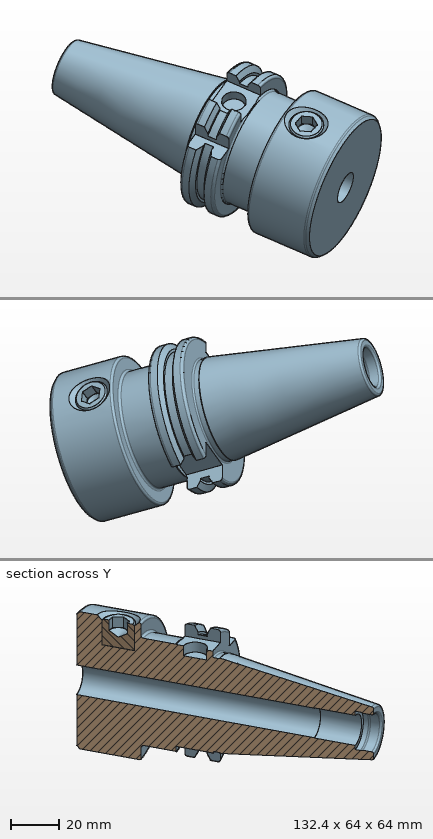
import cadquery as cq
import math

gauge_x = 68.5
flange_x = 71.6
flange_width = 15.9
flange_end_x = flange_x + flange_width
collar_x = 103.5
length = 132.4

taper_ratio = 7 / 24
gauge_diameter = 44.5
small_end_diameter = gauge_diameter - taper_ratio * gauge_x
small_end_fillet = 0.99
neck_diameter = 43.8
neck_fillet = 0.7

flange_diameter = 63.5
flange_fillet = 1.2
groove_top_width = 7.1
groove_floor_width = 4.0
groove_floor_diameter = 55.7
groove_half_angle = 30.0
groove_x = flange_x + flange_width / 2

keyway_width = 16.4
keyway_overrun = 0.4
keyway_length = flange_width + keyway_overrun
top_keyway_floor = 24.9
bottom_keyway_floor = 22.6
notch_corner = 18.5
rim_clearance = 1.3
pocket_diameter = 10.0
pocket_depth = 4.6

hub_diameter = 50.0
hub_flange_fillet = 0.8
hub_collar_fillet = 0.99
collar_diameter = 64.0
collar_back_fillet = 0.99
collar_front_chamfer = 1.5
collar_front_fillet = 1.0

bore_diameter = 13.5
bore_step_diameter = 13.8
bore_step_x = 26.5
relief_diameter = 17.6
relief_end_x = 8.2
pilot_diameter = 17.0
pilot_depth = 4.9
relief_cone_length = 1.0
pilot_mouth_fillet = 0.9

screw_x = 113.9
screw_diameter = 14.4
screw_chamfer = 0.7
screw_length = 12.0
screw_top = 30.6
screw_rim = screw_top - screw_chamfer
screw_tip = screw_top - screw_length
screw_angles = (0, -90)
countersink_height = 4.0
hex_flats = 8.0
hex_depth = 4.9
hex_turn = 24.0
hex_drill_half_angle = 60.0


class RingEdge(cq.Selector):
    """Selects the circular edge about the X axis at one station and diameter."""

    tolerance = 0.01

    def __init__(self, x, diameter):
        self.x = x
        self.diameter = diameter

    def filter(self, objects):
        found = []
        for edge in objects:
            box = edge.BoundingBox()
            flat = box.xlen < self.tolerance and abs(box.xmin - self.x) < self.tolerance
            if flat and abs(box.ylen - self.diameter) < self.tolerance:
                found.append(edge)
        return found


def make_turned_blank():
    """Solid of revolution for the holder, with its edges rounded."""
    small_radius = small_end_diameter / 2
    gauge_radius = gauge_diameter / 2
    neck_radius = neck_diameter / 2
    flange_radius = flange_diameter / 2
    hub_radius = hub_diameter / 2
    collar_radius = collar_diameter / 2
    floor_radius = groove_floor_diameter / 2
    half_floor = groove_floor_width / 2
    half_top = groove_top_width / 2
    slant_depth = (half_top - half_floor) / math.tan(math.radians(groove_half_angle))
    profile = [
        (0, 0),
        (0, small_radius),
        (gauge_x, gauge_radius),
        (gauge_x + gauge_radius - neck_radius, neck_radius),
        (flange_x, neck_radius),
        (flange_x, flange_radius),
        (groove_x - half_top, flange_radius),
        (groove_x - half_floor, flange_radius - slant_depth),
        (groove_x - half_floor, floor_radius),
        (groove_x + half_floor, floor_radius),
        (groove_x + half_floor, flange_radius - slant_depth),
        (groove_x + half_top, flange_radius),
        (flange_end_x, flange_radius),
        (flange_end_x, hub_radius),
        (collar_x, hub_radius),
        (collar_x, collar_radius),
        (length - collar_front_chamfer, collar_radius),
        (length, collar_radius - collar_front_chamfer),
        (length, 0),
    ]
    blank = cq.Workplane("XZ").polyline(profile).close().revolve(360, (0, 0, 0), (1, 0, 0))
    rounded_edges = [
        (0, small_end_diameter, small_end_fillet),
        (flange_x, neck_diameter, neck_fillet),
        (flange_x, flange_diameter, flange_fillet),
        (flange_end_x, flange_diameter, flange_fillet),
        (flange_end_x, hub_diameter, hub_flange_fillet),
        (collar_x, hub_diameter, hub_collar_fillet),
        (collar_x, collar_diameter, collar_back_fillet),
        (length - collar_front_chamfer, collar_diameter, collar_front_fillet),
    ]
    for x, diameter, radius in rounded_edges:
        blank = blank.edges(RingEdge(x, diameter)).fillet(radius)
    return blank


def rim_cutter(x_length, y_min, y_max, z_min, z_max):
    """Block that cuts the flange rim, starting at the flange's taper side."""
    block = cq.Workplane("XY").box(x_length, y_max - y_min, z_max - z_min, centered=False)
    return block.translate((flange_x, y_min, z_min))


def cut_flange_features(holder):
    """Two keyways, the corner notch and the round pocket in the top keyway floor."""
    rim = flange_diameter / 2 + rim_clearance
    half_key = keyway_width / 2
    holder = holder.cut(rim_cutter(keyway_length, -half_key, half_key, top_keyway_floor, rim))
    holder = holder.cut(rim_cutter(keyway_length, -half_key, half_key, -rim, -bottom_keyway_floor))
    holder = holder.cut(rim_cutter(flange_width, -rim, -notch_corner, notch_corner, rim))
    pocket_floor = top_keyway_floor - pocket_depth
    pocket = (
        cq.Workplane("XY", origin=(groove_x, 0, pocket_floor))
        .circle(pocket_diameter / 2)
        .extrude(pocket_depth)
    )
    return holder.cut(pocket)


def cut_axial_bore(holder):
    """Stepped through bore, with a pilot and an undercut relief at the small end."""
    bore_radius = bore_diameter / 2
    step_radius = bore_step_diameter / 2
    relief_radius = relief_diameter / 2
    pilot_radius = pilot_diameter / 2
    profile = [
        (0, 0),
        (0, pilot_radius),
        (pilot_depth, pilot_radius),
        (pilot_depth + relief_cone_length, relief_radius),
        (relief_end_x, relief_radius),
        (relief_end_x, step_radius),
        (bore_step_x, step_radius),
        (bore_step_x, bore_radius),
        (length, bore_radius),
        (length, 0),
    ]
    bore = cq.Workplane("XZ").polyline(profile).close().revolve(360, (0, 0, 0), (1, 0, 0))
    return holder.cut(bore).edges(RingEdge(0, pilot_diameter)).fillet(pilot_mouth_fillet)


def make_screw_hole():
    """Screw hole on +Z, opening through a 90 degree countersink."""
    radius = screw_diameter / 2
    profile = [
        (0, screw_tip),
        (radius, screw_tip),
        (radius, screw_rim),
        (radius + countersink_height, screw_rim + countersink_height),
        (0, screw_rim + countersink_height),
    ]
    hole = cq.Workplane("XZ").polyline(profile).close().revolve(360, (0, 0, 0), (0, 1, 0))
    return hole.translate((screw_x, 0, 0))


def make_screw():
    """Socket set screw on +Z, with a hexagon socket and a drilled cone below it."""
    screw = (
        cq.Workplane("XY", origin=(0, 0, screw_tip))
        .circle(screw_diameter / 2)
        .extrude(screw_length)
        .faces(">Z")
        .chamfer(screw_chamfer)
    )
    hex_corners = hex_flats / math.cos(math.radians(30))
    socket_floor = screw_top - hex_depth
    socket = (
        cq.Workplane("XY", origin=(0, 0, socket_floor))
        .polygon(6, hex_corners)
        .extrude(hex_depth)
        .rotate((0, 0, 0), (0, 0, 1), hex_turn)
    )
    cone_radius = hex_flats / 2
    cone_height = cone_radius / math.tan(math.radians(hex_drill_half_angle))
    cone = cq.Workplane(cq.Solid.makeCone(0, cone_radius, cone_height))
    cone = cone.translate((0, 0, socket_floor - cone_height))
    return screw.cut(socket).cut(cone).translate((screw_x, 0, 0))


def around_axis(body, angle):
    """Turns a body about the X axis."""
    return body.rotate((0, 0, 0), (1, 0, 0), angle)


holder = cut_axial_bore(cut_flange_features(make_turned_blank()))
clamp_screws = []
for angle in screw_angles:
    holder = holder.cut(around_axis(make_screw_hole(), angle))
    clamp_screws.append(around_axis(make_screw(), angle).val())

result = cq.Compound.makeCompound([holder.val(), *clamp_screws])